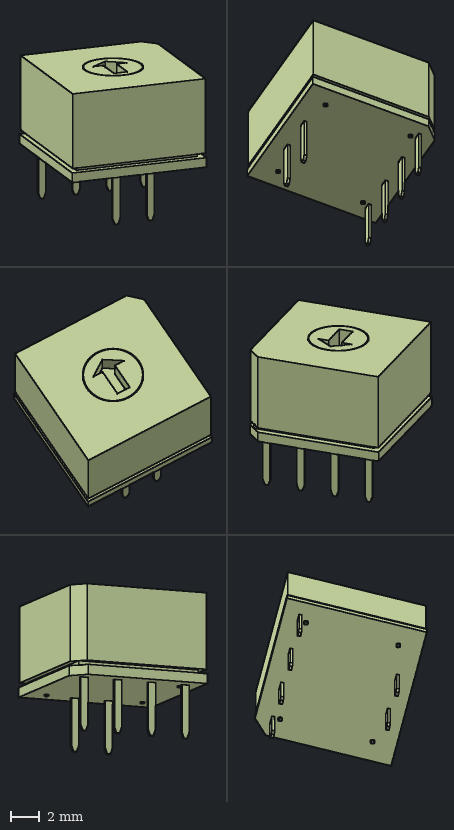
import cadquery as cq

BASE_SIDE = 10.0
BASE_THICKNESS = 0.7
BASE_CORNER_CUT = 1.0

NECK_SIDE = 8.99
NECK_HEIGHT = 0.3

HOUSING_INSET = 0.05
HOUSING_SIDE = BASE_SIDE - 2 * HOUSING_INSET
HOUSING_CORNER_CUT = BASE_CORNER_CUT - 2 * HOUSING_INSET
HOUSING_HEIGHT = 5.4

ROTOR_DIAMETER = 4.1
ROTOR_BORE_DIAMETER = 4.2
ROTOR_GROOVE_DEPTH = 1.02

ARROW_LENGTH = 2.86
ARROW_HEAD_LENGTH = 0.85
ARROW_HEAD_WIDTH = 2.5
ARROW_SHAFT_WIDTH = 0.99
ARROW_DEPTH = 1.22

PIN_PITCH = 2.54
LEFT_ROW_PINS = 4
RIGHT_ROW_PINS = 2
ROW_SPACING = 3 * PIN_PITCH
PIN_LENGTH = 3.75
PIN_WIDTH = 0.55
PIN_THICKNESS = 0.2
PIN_TIP_LENGTH = 0.4
PIN_TIP_WIDTH = 0.24

STANDOFF_SPACING_X = 6.6
STANDOFF_SPACING_Y = 7.21
STANDOFF_DIAMETER = 0.3
STANDOFF_HEIGHT = 0.1
STANDOFF_CHAMFER = 0.05

NECK_BOTTOM = BASE_THICKNESS
HOUSING_BOTTOM = NECK_BOTTOM + NECK_HEIGHT
HOUSING_TOP = HOUSING_BOTTOM + HOUSING_HEIGHT


def square_block(side, height, bottom):
    """Square block centred on the Z axis."""
    return cq.Workplane("XY").workplane(offset=bottom).rect(side, side).extrude(height)


def cut_corner_block(side, height, bottom, corner_cut):
    """Square block with its (-X, +Y) corner cut at 45 degrees."""
    return square_block(side, height, bottom).edges("|Z and <X and >Y").chamfer(corner_cut)


def rotor_groove():
    """Thin ring that separates the rotor from the housing."""
    return (
        cq.Workplane("XY")
        .workplane(offset=HOUSING_TOP)
        .circle(ROTOR_BORE_DIAMETER / 2)
        .circle(ROTOR_DIAMETER / 2)
        .extrude(-ROTOR_GROOVE_DEPTH)
    )


def arrow_slot():
    """Arrow-shaped pocket, centred on the rotor."""
    point_x = -ARROW_LENGTH / 2
    head_x = point_x + ARROW_HEAD_LENGTH
    tail_x = ARROW_LENGTH / 2
    half_head = ARROW_HEAD_WIDTH / 2
    half_shaft = ARROW_SHAFT_WIDTH / 2
    outline = [
        (point_x, 0),
        (head_x, half_head),
        (head_x, half_shaft),
        (tail_x, half_shaft),
        (tail_x, -half_shaft),
        (head_x, -half_shaft),
        (head_x, -half_head),
    ]
    return (
        cq.Workplane("XY")
        .workplane(offset=HOUSING_TOP)
        .polyline(outline)
        .close()
        .extrude(-ARROW_DEPTH)
    )


def pin():
    """Flat pin hanging from Z = 0, centred on the Z axis, wide along Y."""
    half_width = PIN_WIDTH / 2
    half_tip = PIN_TIP_WIDTH / 2
    taper_z = PIN_TIP_LENGTH - PIN_LENGTH
    outline = [
        (-half_width, 0),
        (half_width, 0),
        (half_width, taper_z),
        (half_tip, -PIN_LENGTH),
        (-half_tip, -PIN_LENGTH),
        (-half_width, taper_z),
    ]
    return cq.Workplane("YZ").polyline(outline).close().extrude(PIN_THICKNESS / 2, both=True)


def standoff():
    """Small round foot below Z = 0, chamfered at its lower rim."""
    return (
        cq.Workplane("XY")
        .circle(STANDOFF_DIAMETER / 2)
        .extrude(-STANDOFF_HEIGHT)
        .faces("<Z")
        .chamfer(STANDOFF_CHAMFER)
    )


base = cut_corner_block(BASE_SIDE, BASE_THICKNESS, 0, BASE_CORNER_CUT)
neck = square_block(NECK_SIDE, NECK_HEIGHT, NECK_BOTTOM)
housing = cut_corner_block(HOUSING_SIDE, HOUSING_HEIGHT, HOUSING_BOTTOM, HOUSING_CORNER_CUT)
housing = housing.cut(rotor_groove()).cut(arrow_slot())

result = base.union(neck).union(housing)

for side, pin_count in ((-1, LEFT_ROW_PINS), (1, RIGHT_ROW_PINS)):
    for index in range(pin_count):
        pin_y = (index - (pin_count - 1) / 2) * PIN_PITCH
        result = result.union(pin().translate((side * ROW_SPACING / 2, pin_y, 0)))

for side_x in (-1, 1):
    for side_y in (-1, 1):
        standoff_place = (side_x * STANDOFF_SPACING_X / 2, side_y * STANDOFF_SPACING_Y / 2, 0)
        result = result.union(standoff().translate(standoff_place))